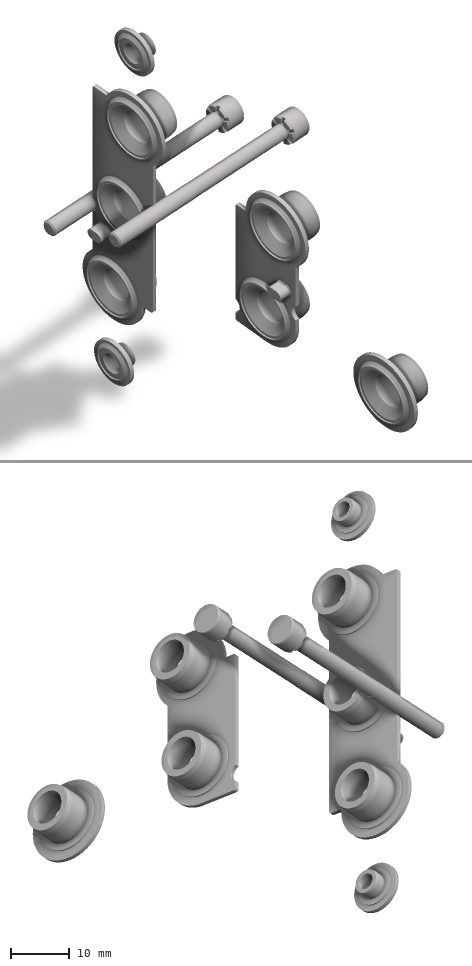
import cadquery as cq

socket_pitch_x = 2.5
socket_pitch_z = 20.0
short_plate_x = 35.0
single_socket_x = 64.0
small_socket_z = 37.5
screw_x = 8.0
screw_z = 4.0

plate_thickness = 0.8
plate_half_width = 7.4
plate_lobe_radius = 7.3
long_plate_top = 23.4
plate_shoulder_z = 19.5
corner_radius = 0.5
notch_diameter = 3.4

peg_x = 4.5
peg_z = 8.0
peg_length = 3.3
peg_width = 2.1
peg_height = 2.35
peg_foot_height = 0.15
peg_foot_margin = 0.15

socket_disc_diameter = 15.0
plate_seat_diameter = 13.0
socket_barrel_diameter = 9.0
socket_barrel_end = 6.3
socket_tip_diameter = 8.6
socket_tip_length = 1.0
socket_collar_diameter = 11.5
collar_end = 1.05
socket_rim_base_diameter = 12.4
socket_rim_diameter = 11.5
socket_rim_height = 0.75
socket_rim_chamfer_length = 0.25
socket_rim_face_diameter = 11.2
socket_recess_diameter = 10.8
socket_recess_floor = 0.5
socket_cone_diameter = 9.8
socket_hole_diameter = 6.1
socket_cone_depth = 1.35

small_disc_diameter = 9.0
small_barrel_diameter = 4.6
small_barrel_end = 3.3
small_tip_diameter = 4.4
small_tip_length = 0.5
small_collar_diameter = 6.8
small_rim_base_diameter = 7.7
small_rim_diameter = 6.4
small_rim_height = 0.5
small_recess_diameter = 6.0
small_recess_floor = 0.25
small_cone_diameter = 4.0
small_hole_diameter = 2.9
small_cone_depth = 1.0

screw_tip_y = -9.7
screw_length = 39.5
thread_length = 18.0
thread_diameter = 3.0
shank_diameter = 2.92
tip_chamfer = 0.3
head_diameter = 5.5
head_height = 3.4
head_edge_chamfer_length = 0.25
head_edge_chamfer_depth = 0.1
tooth_ring_diameter = 5.25
tooth_ring_height = 0.5
tooth_groove_width = 0.75
tooth_groove_count = 6


def revolved(profile):
    """Solid of revolution about the Y axis from (diameter, y) points."""
    points = [(diameter / 2, y) for diameter, y in profile]
    return cq.Workplane("XY").polyline(points).close().revolve(360, (0, 0, 0), (0, 1, 0))


def socket(disc_diameter):
    """Large flanged socket with a disc in the plane of the plates."""
    return revolved([
        (socket_hole_diameter, socket_barrel_end),
        (socket_tip_diameter, socket_barrel_end),
        (socket_barrel_diameter, socket_barrel_end - socket_tip_length),
        (socket_barrel_diameter, collar_end),
        (socket_collar_diameter, collar_end),
        (socket_collar_diameter, plate_thickness),
        (disc_diameter, plate_thickness),
        (disc_diameter, 0),
        (socket_rim_base_diameter, 0),
        (socket_rim_diameter, socket_rim_chamfer_length - socket_rim_height),
        (socket_rim_face_diameter, -socket_rim_height),
        (socket_recess_diameter, -socket_rim_height),
        (socket_recess_diameter, -socket_recess_floor),
        (socket_cone_diameter, -socket_recess_floor),
        (socket_hole_diameter, socket_cone_depth - socket_recess_floor),
    ])


def small_socket():
    """Small flanged socket with its own disc."""
    return revolved([
        (small_hole_diameter, small_barrel_end),
        (small_tip_diameter, small_barrel_end),
        (small_barrel_diameter, small_barrel_end - small_tip_length),
        (small_barrel_diameter, collar_end),
        (small_collar_diameter, collar_end),
        (small_collar_diameter, plate_thickness),
        (small_disc_diameter, plate_thickness),
        (small_disc_diameter, 0),
        (small_rim_base_diameter, 0),
        (small_rim_diameter, -small_rim_height),
        (small_recess_diameter, -small_rim_height),
        (small_recess_diameter, -small_recess_floor),
        (small_cone_diameter, -small_recess_floor),
        (small_hole_diameter, small_cone_depth - small_recess_floor),
    ])


def slab(left, right, bottom, top):
    """Rectangular plate blank between Y = 0 and the plate thickness."""
    return (
        cq.Workplane("XZ")
        .center((left + right) / 2, (bottom + top) / 2)
        .rect(right - left, top - bottom)
        .extrude(-plate_thickness)
    )


def lobe(x, z):
    """Round end of a plate, centred on a socket axis."""
    return cq.Workplane("XZ").center(x, z).circle(plate_lobe_radius).extrude(-plate_thickness)


def round_edge(plate, x, z):
    """Rounds the plate edge along Y that passes nearest to (x, z)."""
    nearest = cq.selectors.NearestToPointSelector((x, plate_thickness / 2, z))
    return plate.edges("|Y").edges(nearest).fillet(corner_radius)


def cut_notches(plate):
    """Cuts the two screw clearances into the side edges of a plate."""
    notches = (
        cq.Workplane("XZ")
        .pushPoints([(screw_x, screw_z), (-screw_x, -screw_z)])
        .circle(notch_diameter / 2)
        .extrude(-plate_thickness)
    )
    return plate.cut(notches)


def peg(x, z):
    """Oblong locating peg standing on a slightly wider foot."""
    foot_margin = 2 * peg_foot_margin
    foot = (
        cq.Workplane("XZ", origin=(x, plate_thickness, z))
        .slot2D(peg_length + foot_margin, peg_width + foot_margin)
        .extrude(plate_thickness + peg_foot_height)
    )
    post = (
        cq.Workplane("XZ", origin=(x, plate_thickness, z))
        .slot2D(peg_length, peg_width)
        .extrude(plate_thickness + peg_height)
    )
    return foot.union(post)


def add_sockets(plate, steps):
    """Fits sockets into the plate at the given numbers of pitch steps."""
    for step in steps:
        centre = (step * socket_pitch_x, 0, step * socket_pitch_z)
        bore = revolved([
            (0, -socket_rim_height),
            (socket_collar_diameter, -socket_rim_height),
            (socket_collar_diameter, collar_end),
            (0, collar_end),
        ])
        plate = plate.cut(bore.translate(centre))
        plate = plate.union(socket(plate_seat_diameter).translate(centre))
    return plate


def long_plate():
    """Plate with three sockets, a lobe at each end and one peg."""
    plate = slab(-plate_half_width, plate_half_width, -plate_shoulder_z, long_plate_top)
    for step in (-1, 1):
        plate = plate.union(lobe(step * socket_pitch_x, step * socket_pitch_z))
    plate = round_edge(plate, -plate_half_width, long_plate_top)
    plate = round_edge(plate, plate_half_width, -plate_shoulder_z)
    plate = round_edge(plate, plate_lobe_radius - socket_pitch_x, -plate_shoulder_z)
    plate = cut_notches(plate)
    plate = add_sockets(plate, (-1, 0, 1))
    return plate.union(peg(-peg_x, -peg_z))


def short_plate():
    """Plate with two sockets, one lobe, one rounded lower corner and one peg."""
    plate = slab(-plate_half_width, plate_half_width, -plate_lobe_radius, plate_shoulder_z)
    right_bottom = cq.selectors.NearestToPointSelector((plate_half_width, 0, -plate_lobe_radius))
    plate = plate.edges("|Y").edges(right_bottom).fillet(plate_lobe_radius)
    plate = plate.union(lobe(socket_pitch_x, socket_pitch_z))
    plate = round_edge(plate, -plate_half_width, plate_shoulder_z)
    plate = round_edge(plate, -plate_half_width, -plate_lobe_radius)
    plate = round_edge(plate, socket_pitch_x - plate_lobe_radius, plate_shoulder_z)
    plate = cut_notches(plate)
    plate = add_sockets(plate, (0, 1))
    plate = plate.union(peg(peg_x, peg_z))
    return plate.translate((short_plate_x, 0, 0))


def screw():
    """Socket-head screw body with a toothed ring under its head."""
    thread_end = screw_tip_y + thread_length
    seat = screw_tip_y + screw_length
    head_front = seat + tooth_ring_height
    head_back = head_front + head_height
    body = revolved([
        (0, screw_tip_y),
        (thread_diameter - 2 * tip_chamfer, screw_tip_y),
        (thread_diameter, screw_tip_y + tip_chamfer),
        (thread_diameter, thread_end),
        (shank_diameter, thread_end),
        (shank_diameter, seat),
        (tooth_ring_diameter, seat),
        (head_diameter, head_front),
        (head_diameter, head_back - head_edge_chamfer_length),
        (head_diameter - 2 * head_edge_chamfer_depth, head_back),
        (0, head_back),
    ])
    for index in range(tooth_groove_count):
        angle = 90 + index * 360 / tooth_groove_count
        groove = (
            cq.Workplane("XY")
            .box(head_diameter, tooth_ring_height, tooth_groove_width)
            .translate(((head_diameter + shank_diameter) / 2, seat + tooth_ring_height / 2, 0))
            .rotate((0, 0, 0), (0, 1, 0), angle)
        )
        body = body.cut(groove)
    return body


screws = [screw().translate((side * screw_x, 0, side * screw_z)) for side in (-1, 1)]
small_sockets = [
    small_socket().translate((side * socket_pitch_x, 0, side * small_socket_z)) for side in (-1, 1)
]
single_socket = socket(socket_disc_diameter).translate((single_socket_x, 0, 0))

result = cq.Compound.makeCompound([
    long_plate().val(),
    short_plate().val(),
    single_socket.val(),
    *[body.val() for body in small_sockets],
    *[body.val() for body in screws],
])